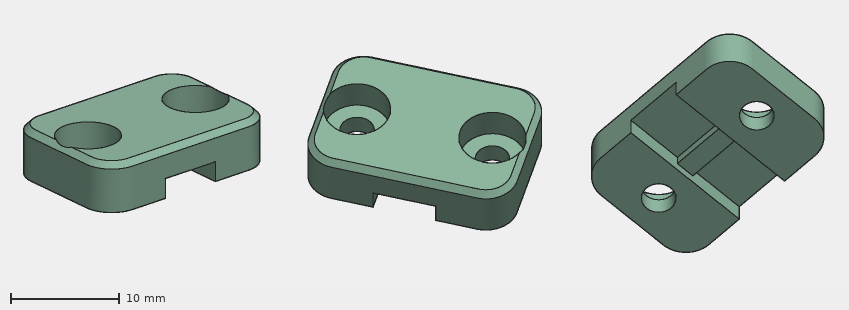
import cadquery as cq

width = 14.0
length = 20.0
height = 5.0
corner_radius = 3.0
top_chamfer = 0.6

hole_spacing = 13.0
hole_diameter = 3.2
counterbore_diameter = 6.2
counterbore_depth = 3.0

channel_width = 6.0
channel_height = 2.0
rib_drop = 1.0
rib_thickness = 2.0


def make_block():
    """Rounded block with a chamfered top edge, resting on Z = 0."""
    block = cq.Workplane("XY").box(width, length, height, centered=(True, True, False))
    return block.edges("|Z").fillet(corner_radius).faces(">Z").chamfer(top_chamfer)


def make_channel():
    """Space removed along X: a plain channel less the rib across its middle."""
    channel = cq.Workplane("XY").box(
        width, channel_width, channel_height, centered=(True, True, False)
    )
    rib = (
        cq.Workplane("XY", origin=(0, 0, channel_height - rib_drop))
        .box(rib_thickness, channel_width, rib_drop, centered=(True, True, False))
    )
    return channel.cut(rib)


result = (
    make_block()
    .cut(make_channel())
    .faces(">Z")
    .workplane(origin=(0, 0, height))
    .pushPoints([(0, -hole_spacing / 2), (0, hole_spacing / 2)])
    .cboreHole(hole_diameter, counterbore_diameter, counterbore_depth)
)